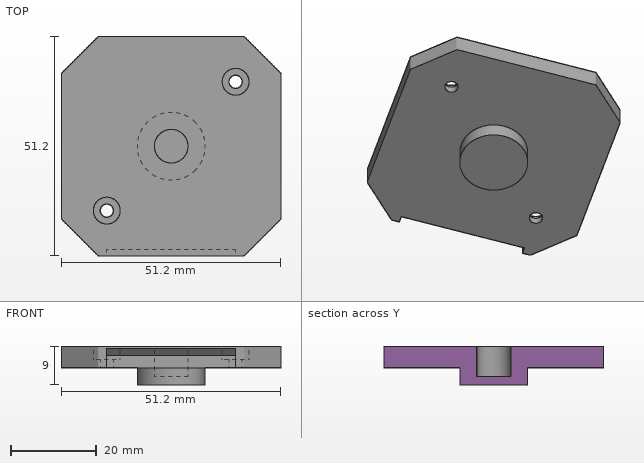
import cadquery as cq

side = 51.15
plate_thickness = 5.0
corner_cut = 8.65
corner_radius = 0.5

overall_height = 9.0
boss_diameter = 15.8
bore_diameter = 7.8
bore_depth = 7.0

hole_offset = 15.0
hole_diameter = 3.0
counterbore_diameter = 6.25
counterbore_depth = 3.0

recess_width = 30.0
recess_depth = 1.6
recess_lip = 0.5


def make_plate():
    return (
        cq.Workplane("XY")
        .rect(side, side)
        .extrude(-plate_thickness)
        .edges("|Z")
        .chamfer(corner_cut)
        .edges("|Z")
        .fillet(corner_radius)
    )


def make_boss():
    return cq.Workplane("XY").circle(boss_diameter / 2).extrude(-overall_height)


def make_edge_recess():
    edge_y = -side / 2
    wall_y = edge_y + recess_depth
    return (
        cq.Workplane("YZ")
        .moveTo(edge_y, -recess_lip)
        .lineTo(wall_y, -recess_lip - recess_depth)
        .lineTo(wall_y, -plate_thickness)
        .lineTo(edge_y, -plate_thickness)
        .close()
        .extrude(recess_width / 2, both=True)
    )


result = (
    make_plate()
    .union(make_boss())
    .cut(make_edge_recess())
    .cut(cq.Workplane("XY").circle(bore_diameter / 2).extrude(-bore_depth))
)

for sign in (-1, 1):
    hole_position = cq.Workplane("XY").center(sign * hole_offset, sign * hole_offset)
    result = result.cut(hole_position.circle(hole_diameter / 2).extrude(-plate_thickness))
    result = result.cut(hole_position.circle(counterbore_diameter / 2).extrude(-counterbore_depth))